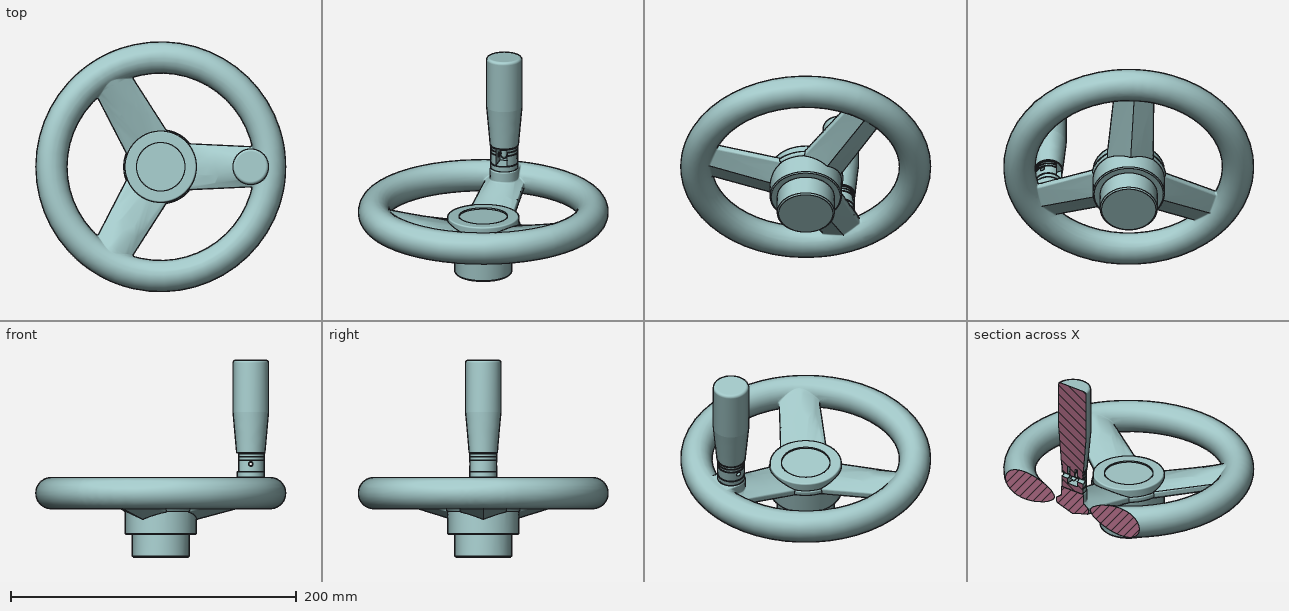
import cadquery as cq
import math

rim_diameter = 175.0
rim_tube_diameter = 22.0
rim_center_z = 45.0
rim_tube_radius = rim_tube_diameter / 2
rim_path_radius = rim_diameter / 2 - rim_tube_radius

hub_diameter = 50.0
hub_bottom_z = 16.0
hub_top_z = 42.0
hub_bottom_chamfer = 0.8
hub_top_fillet = 1.0
lower_boss_diameter = 40.0
lower_boss_chamfer = 1.0
flange_diameter = 52.0
flange_bottom_z = 32.0
flange_top_z = 36.2
flange_fillet = 1.5
recess_diameter = 34.0
recess_depth = 1.0

spoke_count = 3
spoke_inner = dict(along=15.0, half_width=16.4, ridge=23.9, edge_low=31.0, edge_high=35.3, crown=36.2)
spoke_outer = dict(along=70.0, half_width=13.8, ridge=38.6, edge_low=42.5, edge_high=46.6, crown=53.4)
spoke_edge_fillet = 1.3

handle_x = 63.0
handle_seat_z = 55.7
pad_radius = 10.0
pad_bottom_z = 45.0
pad_end_x = 78.0
pad_top_fillet = 1.0

junction_fillet = 1.0
junction_inner_radius = 52.0
junction_outer_radius = 72.0

barrel_diameter = 19.0
collar_top_z = 60.0
collar_chamfer_height = 1.0
collar_chamfer_width = 0.5
groove_levels = (collar_top_z, 67.9, 70.4, 72.6)
groove_width = 0.4
groove_depth = 0.3
grip_bottom_z = 73.0
grip_bottom_diameter = 20.0
grip_bottom_chamfer = 0.4
grip_shoulder_z = 101.5
grip_diameter = 25.0
grip_top_z = 138.1
grip_top_fillet = 2.0

slot_width = 8.2
slot_end_x = 4.1
tongue_diameter = 5.2
tongue_step_z = 69.6
tongue_tip_diameter = 4.6
cross_hole_diameter = 3.25
tongue_hole_diameter = 2.5
cross_hole_z = 65.4


def cylinder(diameter, bottom, top):
    return cq.Workplane("XY").workplane(offset=bottom).circle(diameter / 2).extrude(top - bottom)


def make_rim():
    section_plane = cq.Plane(origin=(rim_path_radius, 0, rim_center_z), xDir=(0, 0, -1), normal=(0, 1, 0))
    ring = (
        cq.Workplane(section_plane)
        .circle(rim_tube_radius)
        .revolve(360, (0, rim_path_radius), (1, rim_path_radius))
    )
    return ring.rotate((0, 0, 0), (0, 0, 1), 180 / spoke_count)


def make_hub():
    drum = cylinder(hub_diameter, hub_bottom_z, hub_top_z)
    drum = drum.faces("<Z").chamfer(hub_bottom_chamfer).faces(">Z").edges().fillet(hub_top_fillet)
    boss = cylinder(lower_boss_diameter, 0, hub_bottom_z).faces("<Z").chamfer(lower_boss_chamfer)
    flange = cylinder(flange_diameter, flange_bottom_z, flange_top_z).edges().fillet(flange_fillet)
    recess = cylinder(recess_diameter, hub_top_z - recess_depth, hub_top_z)
    return drum.union(boss).union(flange).cut(recess)


def spoke_section(section):
    half_width = section["half_width"]
    return (
        cq.Workplane("YZ", origin=(section["along"], 0, 0))
        .moveTo(0, section["ridge"])
        .lineTo(half_width, section["edge_low"])
        .lineTo(half_width, section["edge_high"])
        .threePointArc((0, section["crown"]), (-half_width, section["edge_high"]))
        .lineTo(-half_width, section["edge_low"])
        .close()
        .wire()
        .val()
    )


def is_long_side_edge(edge):
    box = edge.BoundingBox()
    reaches_full_length = box.xlen > (spoke_outer["along"] - spoke_inner["along"]) / 2
    return reaches_full_length and box.ymin * box.ymax > 0


def is_blended_junction(edge):
    middle = edge.Center()
    distance = math.hypot(middle.x, middle.y)
    is_short = edge.Length() < 2 * rim_tube_diameter
    is_near_rim = junction_inner_radius < distance < junction_outer_radius
    return edge.geomType() == "BSPLINE" and is_short and is_near_rim


def make_spoke():
    wires = [spoke_section(spoke_inner), spoke_section(spoke_outer)]
    spoke = cq.Workplane(cq.Solid.makeLoft(wires, True))
    side_edges = spoke.edges("not(|X)").filter(is_long_side_edge)
    return side_edges.fillet(spoke_edge_fillet)


def make_pad():
    pad = (
        cq.Workplane("XY", origin=(handle_x, 0, pad_bottom_z))
        .moveTo(0, pad_radius)
        .threePointArc((-pad_radius, 0), (0, -pad_radius))
        .lineTo(pad_end_x - handle_x, -pad_radius)
        .lineTo(pad_end_x - handle_x, pad_radius)
        .close()
        .extrude(handle_seat_z - pad_bottom_z)
    )
    return pad.faces(">Z").edges("not >X").fillet(pad_top_fillet)


def make_wheel():
    spoke = make_spoke()
    wheel = make_rim()
    for index in range(spoke_count):
        wheel = wheel.union(spoke.rotate((0, 0, 0), (0, 0, 1), index * 360 / spoke_count))
    wheel = wheel.union(make_pad())
    wheel = wheel.edges().filter(is_blended_junction).fillet(junction_fillet)
    return wheel.union(make_hub())


def cross_hole(diameter):
    return (
        cq.Workplane("XZ", origin=(0, 0, cross_hole_z))
        .circle(diameter / 2)
        .extrude(barrel_diameter, both=True)
    )


def make_shank():
    shank = cylinder(barrel_diameter, handle_seat_z, grip_bottom_z)
    shank = shank.faces("<Z").chamfer(collar_chamfer_width, collar_chamfer_height)

    for level in groove_levels:
        bottom = level - groove_width / 2
        ring = cylinder(2 * barrel_diameter, bottom, bottom + groove_width)
        ring = ring.cut(cylinder(barrel_diameter - 2 * groove_depth, bottom, bottom + groove_width))
        shank = shank.cut(ring)

    slot = (
        cq.Workplane("XY", origin=(slot_end_x, 0, collar_top_z))
        .box(barrel_diameter, slot_width, grip_bottom_z - collar_top_z, centered=(False, True, False))
        .translate((-barrel_diameter, 0, 0))
    )
    return shank.cut(slot).cut(cross_hole(cross_hole_diameter))


def make_tongue():
    tip_radius = tongue_tip_diameter / 2
    stem = cylinder(tongue_diameter, tongue_step_z, grip_bottom_z)
    tip = cylinder(tongue_tip_diameter, cross_hole_z, tongue_step_z)
    ball = cq.Workplane("XY", origin=(0, 0, cross_hole_z)).sphere(tip_radius)
    return stem.union(tip).union(ball).cut(cross_hole(tongue_hole_diameter))


def make_grip():
    return (
        cq.Workplane("XZ")
        .moveTo(0, grip_bottom_z)
        .lineTo(grip_bottom_diameter / 2 - grip_bottom_chamfer, grip_bottom_z)
        .lineTo(grip_bottom_diameter / 2, grip_bottom_z + grip_bottom_chamfer)
        .lineTo(grip_diameter / 2, grip_shoulder_z)
        .lineTo(grip_diameter / 2, grip_top_z)
        .lineTo(0, grip_top_z)
        .close()
        .revolve(360, (0, 0, 0), (0, 1, 0))
        .faces(">Z").edges().fillet(grip_top_fillet)
    )


def make_handle():
    return make_grip().union(make_shank()).union(make_tongue()).translate((handle_x, 0, 0))


wheel = make_wheel()
handle = make_handle()
result = cq.Compound.makeCompound([wheel.val(), handle.val()])